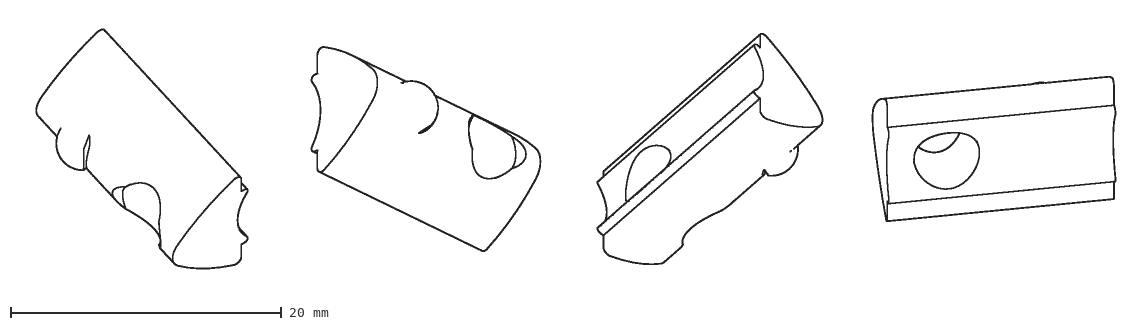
import cadquery as cq
import math

length = 17.0
height = 10.5
nose_depth = 6.9
back_depth = 0.6
hollow_depth = 0.94

ear_radius = 0.5
ear_angle = math.radians(26.6)
nose_radius = 1.97
nose_angle = math.radians(48.2)
flank_bulge = 0.3

lip_radius = 0.34
lip_outer_z = 3.25

feature_offset = 4.0
ball_radius = 1.99
overall_depth = 7.9
hole_diameter = 4.91
countersink_diameter = 5.98
countersink_angle = math.radians(45)


def arc_point(center, radius, angle):
    """Point on a circle in the (Y, Z) plane, angle measured from +Y."""
    return (center[0] + radius * math.cos(angle), center[1] + radius * math.sin(angle))


def make_body():
    nose_center = (nose_radius - nose_depth, 0)
    nose_normal = math.pi / 2 + nose_angle
    nose_mid = arc_point(nose_center, nose_radius, (nose_normal + math.pi) / 2)
    nose_end = arc_point(nose_center, nose_radius, nose_normal)

    ear_center = (-back_depth - ear_radius, height / 2 - ear_radius)
    ear_normal = math.pi / 2 + ear_angle
    ear_start = arc_point(ear_center, ear_radius, ear_normal)
    ear_mid = arc_point(ear_center, ear_radius, ear_normal / 2)
    ear_end = arc_point(ear_center, ear_radius, 0)

    chord_y = ear_start[0] - nose_end[0]
    chord_z = ear_start[1] - nose_end[1]
    chord = math.hypot(chord_y, chord_z)
    flank_mid = (
        (ear_start[0] + nose_end[0]) / 2 - flank_bulge * chord_z / chord,
        (ear_start[1] + nose_end[1]) / 2 + flank_bulge * chord_y / chord,
    )

    lip_center = (-lip_radius, lip_outer_z - lip_radius)
    lip_rise = hollow_depth - lip_radius
    hollow_radius = (lip_rise**2 + lip_center[1]**2 - lip_radius**2) / (2 * hollow_depth)
    hollow_center = (hollow_radius - hollow_depth, 0)
    tangent_angle = math.atan2(lip_center[1], lip_center[0] - hollow_center[0])
    lip_end = arc_point(hollow_center, hollow_radius, tangent_angle)
    hollow_mid = arc_point(hollow_center, hollow_radius, (tangent_angle + math.pi) / 2)

    half = (
        cq.Workplane("YZ", origin=(-length / 2, 0, 0))
        .moveTo(-nose_depth, 0)
        .threePointArc(nose_mid, nose_end)
        .threePointArc(flank_mid, ear_start)
        .threePointArc(ear_mid, ear_end)
        .lineTo(-back_depth, lip_outer_z)
        .lineTo(-lip_radius, lip_outer_z)
        .threePointArc(arc_point(lip_center, lip_radius, 0), lip_end)
        .threePointArc(hollow_mid, (-hollow_depth, 0))
        .close()
        .extrude(length)
    )
    return half.union(half.mirror("XY")).clean()


def make_ball():
    center_y = ball_radius - overall_depth
    return cq.Workplane("XY").sphere(ball_radius).translate((-feature_offset, center_y, 0))


def make_hole_cutter():
    hole = (
        cq.Workplane("XZ", origin=(feature_offset, 0, 0))
        .circle(hole_diameter / 2)
        .extrude(overall_depth)
    )
    cone_radius = countersink_diameter / 2
    cone_height = cone_radius / math.tan(countersink_angle)
    countersink = cq.Solid.makeCone(
        cone_radius,
        0,
        cone_height,
        pnt=cq.Vector(feature_offset, -nose_depth, 0),
        dir=cq.Vector(0, 1, 0),
    )
    return hole.union(cq.Workplane(countersink))


result = make_body().union(make_ball()).cut(make_hole_cutter())